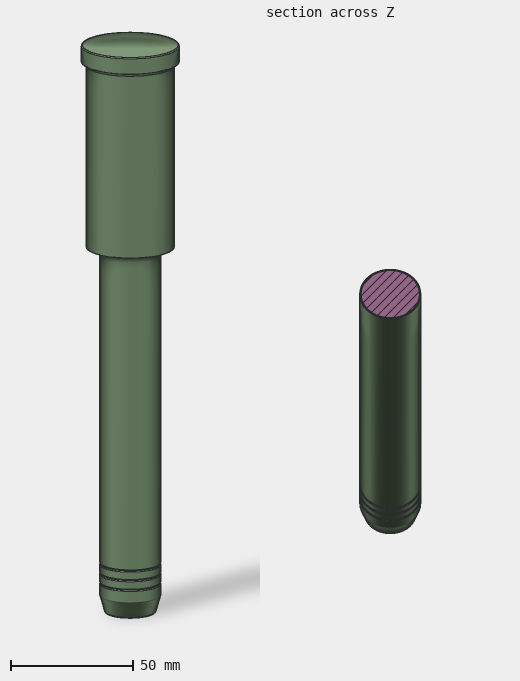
import cadquery as cq

total_length = 240.0
head_diameter = 40.0
body_diameter = 36.0
pin_diameter = 25.0
tip_diameter = 21.0

head_height = 7.0
body_length = 78.5
tip_length = 7.2

head_chamfer = 0.5
tip_chamfer = 0.5

head_groove_width = 1.5
head_groove_depth = 0.2

pin_relief_width = 1.5
pin_relief_depth = 0.5

oil_groove_count = 3
oil_groove_pitch = 4.0
oil_groove_width = 1.0
oil_groove_depth = 0.2
lowest_oil_groove_z = 12.5

head_radius = head_diameter / 2
body_radius = body_diameter / 2
pin_radius = pin_diameter / 2
tip_radius = tip_diameter / 2
head_bottom_z = total_length - head_height
body_bottom_z = head_bottom_z - body_length


def revolve_profile(points):
    """Revolve a closed (radius, z) outline about the Z axis."""
    return cq.Workplane("XZ").polyline(points).close().revolve(360, (0, 0, 0), (0, 1, 0))


def stepped_pin():
    """Head, body, pin and tapered tip, with the head and tip edges chamfered."""
    return revolve_profile([
        (0, 0),
        (tip_radius - tip_chamfer, 0),
        (tip_radius, tip_chamfer),
        (pin_radius, tip_length),
        (pin_radius, body_bottom_z),
        (body_radius, body_bottom_z),
        (body_radius, head_bottom_z),
        (head_radius, head_bottom_z),
        (head_radius, total_length - head_chamfer),
        (head_radius - head_chamfer, total_length),
        (0, total_length),
    ])


def pin_relief():
    """Square ring that narrows the pin where it meets the body."""
    bottom_z = body_bottom_z - pin_relief_width
    return revolve_profile([
        (pin_radius - pin_relief_depth, bottom_z),
        (pin_radius, bottom_z),
        (pin_radius, body_bottom_z),
        (pin_radius - pin_relief_depth, body_bottom_z),
    ])


def v_ring(shaft_radius, center_z, width, depth):
    """Triangular ring that cuts a V-shaped groove into a shaft."""
    return revolve_profile([
        (shaft_radius - depth, center_z),
        (shaft_radius, center_z + width / 2),
        (shaft_radius, center_z - width / 2),
    ])


result = stepped_pin().cut(pin_relief())
result = result.cut(
    v_ring(body_radius, head_bottom_z - head_groove_width / 2, head_groove_width, head_groove_depth)
)
for index in range(oil_groove_count):
    groove_z = lowest_oil_groove_z + index * oil_groove_pitch
    result = result.cut(v_ring(pin_radius, groove_z, oil_groove_width, oil_groove_depth))